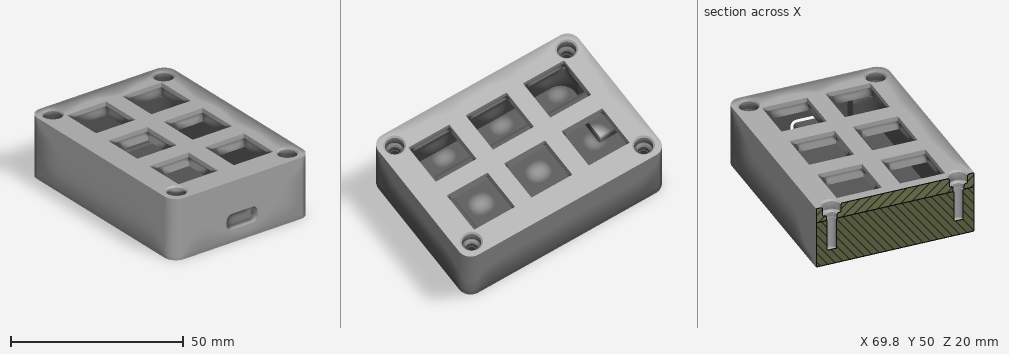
import cadquery as cq

length = 69.85
width = 49.95
height = 20.0
corner_radius = 4.0
lid_height = 4.95
base_height = height - lid_height

key_pitch = 20.0
key_columns = 3
key_rows = 2
key_opening = 14.25
plate_thickness = 1.5
relief_offset = 0.8
relief_opening = key_opening + 2 * relief_offset

screw_inset = 4.95
screw_head_diameter = 5.65
screw_head_depth = 3.0
screw_clearance_diameter = 3.3
screw_pilot_diameter = 2.7
screw_pilot_depth = 10.0
screw_chamfer = 0.5

wall = 6.0
cavity_radius = 5.0
floor_height = 5.7

bay_width = 25.0
bay_start = -21.1
bay_chamfer = 0.5
port_wall = 2.0
bay_end = length / 2 - port_wall
bay_floor_height = floor_height - bay_chamfer

connector_length = 7.7
connector_width = 9.2
connector_height = 3.2
connector_radius = 1.0
port_clearance = 1.0

screw_points = [
    (x_side * (length / 2 - screw_inset), y_side * (width / 2 - screw_inset))
    for x_side in (-1, 1)
    for y_side in (-1, 1)
]


def rounded_block(size_x, size_y, radius, bottom, top):
    """Block centred on the Z axis with rounded vertical edges."""
    block = cq.Workplane("XY").workplane(offset=bottom).rect(size_x, size_y).extrude(top - bottom)
    return block.edges("|Z").fillet(radius)


def screw_bores(diameter, bottom, top):
    """Cylinders on the four screw axes."""
    return (
        cq.Workplane("XY")
        .workplane(offset=bottom)
        .pushPoints(screw_points)
        .circle(diameter / 2)
        .extrude(top - bottom)
    )


def screw_countersinks(diameter, top):
    """Cones that chamfer the mouth of a bore of the given diameter, on the four screw axes."""
    small_radius = diameter / 2
    cone = cq.Solid.makeCone(
        small_radius,
        small_radius + screw_chamfer,
        screw_chamfer,
        pnt=cq.Vector(0, 0, top - screw_chamfer),
    )
    return cq.Workplane("XY").pushPoints(screw_points).eachpoint(lambda place: cone.moved(place))


def key_cutters(opening, bottom, top):
    """Square blocks on the key grid."""
    return (
        cq.Workplane("XY")
        .workplane(offset=bottom)
        .rarray(key_pitch, key_pitch, key_columns, key_rows)
        .rect(opening, opening)
        .extrude(top - bottom)
    )


def connector_bar(clearance, start, bar_length):
    """Rounded bar along +X, grown on all sides by the clearance."""
    bar = cq.Workplane("XY").box(
        bar_length,
        connector_width + 2 * clearance,
        connector_height + 2 * clearance,
        centered=(False, True, True),
    )
    bar = bar.edges("|X").fillet(connector_radius + clearance)
    return bar.translate((start, 0, bay_floor_height + connector_height / 2))


def board_bay():
    """Bay open to the top of the base, with its floor edges sloped on all sides but the port side."""
    bay = (
        cq.Workplane("XY")
        .workplane(offset=bay_floor_height)
        .center((bay_start + bay_end) / 2, 0)
        .rect(bay_end - bay_start, bay_width)
        .extrude(base_height - bay_floor_height)
    )
    return bay.faces("<Z").edges("not >X").chamfer(bay_chamfer)


def make_lid():
    plate_bottom = height - plate_thickness
    head_seat = height - screw_head_depth
    lid = rounded_block(length, width, corner_radius, base_height, height)
    lid = lid.cut(key_cutters(key_opening, plate_bottom, height))
    lid = lid.cut(key_cutters(relief_opening, base_height, plate_bottom))
    lid = lid.cut(screw_bores(screw_clearance_diameter, base_height, head_seat))
    lid = lid.cut(screw_countersinks(screw_clearance_diameter, head_seat))
    lid = lid.cut(screw_bores(screw_head_diameter, head_seat, height))
    return lid.cut(screw_countersinks(screw_head_diameter, height))


def make_base():
    base = rounded_block(length, width, corner_radius, 0, base_height)
    cavity = rounded_block(length - 2 * wall, width - 2 * wall, cavity_radius, floor_height, base_height)
    base = base.cut(cavity)
    base = base.cut(board_bay())
    base = base.cut(connector_bar(port_clearance, bay_end, port_wall))
    return base.cut(screw_bores(screw_pilot_diameter, base_height - screw_pilot_depth, base_height))


def make_connector():
    return connector_bar(0, bay_end - connector_length, connector_length)


lid = make_lid()
base = make_base()
connector = make_connector()

result = cq.Compound.makeCompound([lid.val(), base.val(), connector.val()])